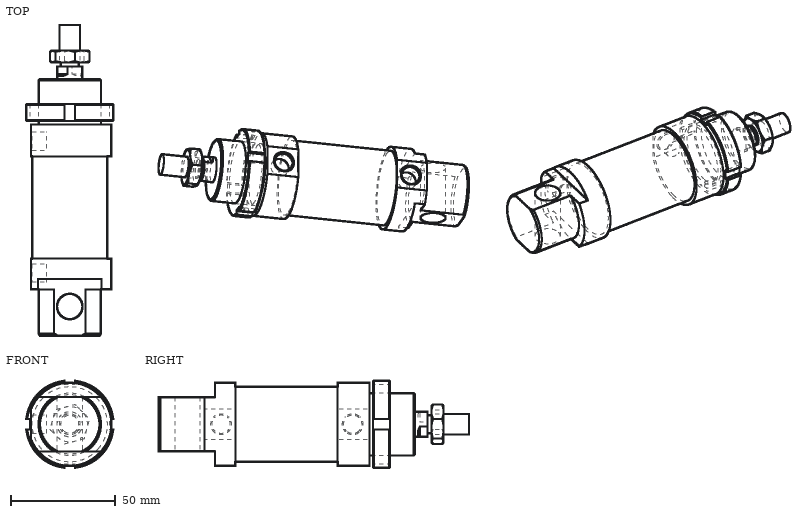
import cadquery as cq
import math


rear_head_step = 27.1
rear_head_start = 22.2
rear_head_end = 37.0
front_head_start = 86.0
front_head_end = 101.3
lock_nut_start = 103.0
lock_nut_end = 111.0
nose_end = 123.0
collar_end = 129.0
rod_nut_start = 130.8
rod_nut_end = 136.8
rod_tip = 149.0

tube_diameter = 36.0
head_diameter = 40.0
nose_diameter = 30.0
end_chamfer = 0.7
tang_chamfer_length = 1.0
tang_thickness = 26.0
pivot_diameter = 12.0
pivot_y = 14.0
port_flat_distance = 18.6
port_diameter = 8.8
port_mouth_diameter = 10.0
port_depth = 7.5
port_stations = (30.1, 93.1)

lock_nut_diameter = 42.0
lock_nut_chamfer = 0.5
slot_count = 4
slot_width = 4.9
slot_depth = 2.0

thread_diameter = 10.0
neck_diameter = 8.6
collar_diameter = 12.0
wrench_flat_size = 10.0
wrench_flat_length = 3.6
wrench_turn = -45.0

rod_nut_across_flats = 17.0
rod_nut_chamfer_diameter = 17.0
rod_nut_chamfer_angle = 30.0
rod_nut_turn = 45.0


def cylinder(diameter, start, end):
    """Cylinder around the Y axis between two stations."""
    return cq.Workplane("XZ", origin=(0, start, 0)).circle(diameter / 2).extrude(start - end)


def chamfered_cylinder(diameter, start, end, chamfer_depth, start_length, end_length=0):
    """Cylinder around the Y axis whose ends taper by chamfer_depth over the given lengths."""
    radius = diameter / 2
    profile = cq.Workplane("XY").moveTo(0, start).lineTo(radius - chamfer_depth, start)
    profile = profile.lineTo(radius, start + start_length).lineTo(radius, end - end_length)
    if end_length > 0:
        profile = profile.lineTo(radius - chamfer_depth, end)
    return profile.lineTo(0, end).close().revolve(360, (0, 0, 0), (0, 1, 0))


def box(x_size, z_size, start, end):
    """Box centred on the Y axis between two stations."""
    return cq.Workplane("XZ", origin=(0, start, 0)).rect(x_size, z_size).extrude(start - end)


def turn(shape, angle):
    """Turn a shape about the Y axis."""
    return shape.rotate((0, 0, 0), (0, 1, 0), angle)


def port_cut(y):
    """Blind port entering from the -X flat, with a chamfered mouth."""
    mouth_chamfer = (port_mouth_diameter - port_diameter) / 2
    flat = cq.Workplane("YZ", origin=(-port_flat_distance, y, 0))
    hole = flat.circle(port_diameter / 2).extrude(port_depth)
    mouth = flat.circle(port_mouth_diameter / 2).extrude(mouth_chamfer, taper=45)
    return hole.union(mouth)


def port_flat_cut(start, end):
    """Material removed from a head to leave its flat on the -X side."""
    cut_width = head_diameter
    return box(cut_width, head_diameter, start, end).translate(
        (-port_flat_distance - cut_width / 2, 0, 0)
    )


def make_housing():
    tube = cylinder(tube_diameter, rear_head_end, front_head_start)
    rear_head = cylinder(head_diameter, rear_head_start, rear_head_end)
    front_head = cylinder(head_diameter, front_head_start, front_head_end)
    rear_head = rear_head.cut(port_flat_cut(rear_head_start, rear_head_end))
    front_head = front_head.cut(port_flat_cut(front_head_start, front_head_end))

    nose = cylinder(nose_diameter, front_head_end, nose_end).faces(">Y").chamfer(end_chamfer)
    tang = chamfered_cylinder(nose_diameter, 0, rear_head_start, end_chamfer, tang_chamfer_length)
    housing = tube.union(rear_head).union(front_head).union(nose).union(tang)

    flat_zone = box(head_diameter, head_diameter, 0, rear_head_step)
    kept_zone = box(head_diameter, tang_thickness, 0, rear_head_step)
    housing = housing.cut(flat_zone.cut(kept_zone))

    pivot = cq.Workplane("XY", origin=(0, pivot_y, 0)).circle(pivot_diameter / 2)
    housing = housing.cut(pivot.extrude(tang_thickness, both=True))

    for y in port_stations:
        housing = housing.cut(port_cut(y))
    return housing


def make_lock_nut():
    nut = cylinder(lock_nut_diameter, lock_nut_start, lock_nut_end)
    nut = nut.faces("<Y or >Y").chamfer(lock_nut_chamfer)
    nut = nut.cut(cylinder(nose_diameter, lock_nut_start, lock_nut_end))
    slot = box(2 * slot_depth, slot_width, lock_nut_start, lock_nut_end)
    slot = slot.translate((lock_nut_diameter / 2, 0, 0))
    for index in range(slot_count):
        nut = nut.cut(turn(slot, index * 360 / slot_count))
    return nut


def make_rod():
    collar = cylinder(collar_diameter, nose_end, collar_end)
    run_out = (collar_diameter - wrench_flat_size) / 2
    flat_start = collar_end - wrench_flat_length
    for side in (1, -1):
        notch = (
            cq.Workplane("YZ")
            .moveTo(collar_end, side * wrench_flat_size / 2)
            .lineTo(flat_start, side * wrench_flat_size / 2)
            .lineTo(flat_start - run_out, side * collar_diameter / 2)
            .lineTo(collar_end, side * collar_diameter / 2)
            .close()
            .extrude(collar_diameter / 2, both=True)
        )
        collar = collar.cut(turn(notch, wrench_turn))
    neck = cylinder(neck_diameter, collar_end, rod_nut_start)
    thread = cylinder(thread_diameter, rod_nut_start, rod_tip)
    return collar.union(neck).union(thread)


def make_rod_nut():
    corner_diameter = rod_nut_across_flats / math.cos(math.pi / 6)
    hexagon = cq.Workplane("XZ", origin=(0, rod_nut_start, 0)).polygon(6, corner_diameter)
    nut = turn(hexagon.extrude(rod_nut_start - rod_nut_end), rod_nut_turn)

    chamfer_width = (corner_diameter - rod_nut_chamfer_diameter) / 2
    chamfer_height = chamfer_width * math.tan(math.radians(rod_nut_chamfer_angle))
    envelope = chamfered_cylinder(
        corner_diameter, rod_nut_start, rod_nut_end, chamfer_width, chamfer_height, chamfer_height
    )
    nut = nut.intersect(envelope)
    return nut.cut(cylinder(thread_diameter, rod_nut_start, rod_nut_end))


housing = make_housing()
lock_nut = make_lock_nut()
rod = make_rod()
rod_nut = make_rod_nut()

result = cq.Compound.makeCompound([housing.val(), lock_nut.val(), rod.val(), rod_nut.val()])